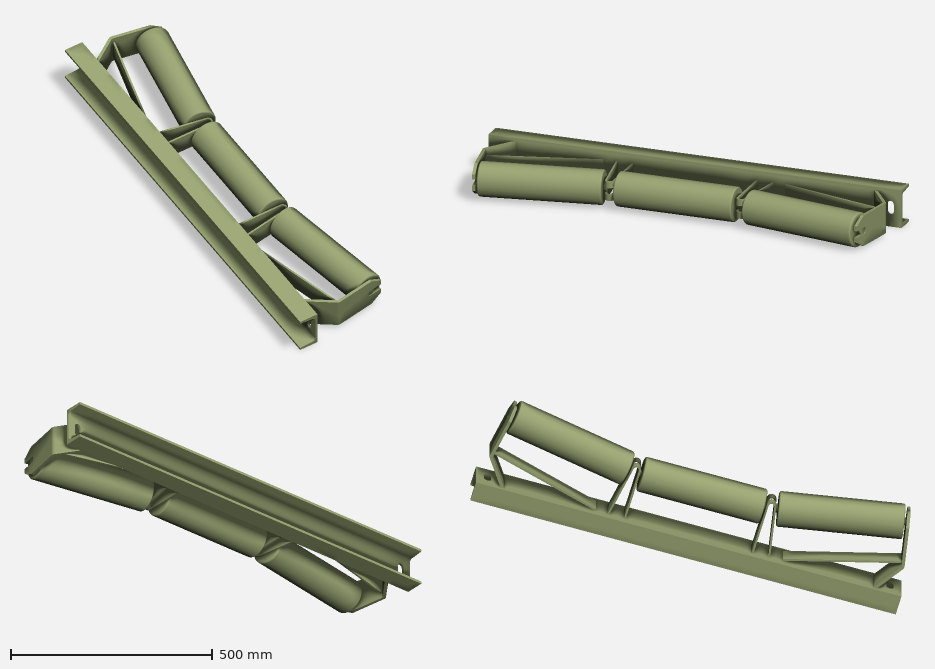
import cadquery as cq
import math

channel_length = 1100.0
channel_height = 100.0
flange_depth = 51.0
web_thickness = 6.0
flange_tip_thickness = 7.0
flange_taper = 0.08
flange_root_radius = 9.0
mount_slot_height = 36.0
mount_slot_width = 18.0
mount_slot_inset = 30.0

roller_length = 315.0
roller_radius = 44.5
roller_edge_radius = 4.0
roller_gap = 5.0
shaft_radius = 10.0
shaft_flat_width = 16.0
roller_tilt = 10.0
middle_axis_height = 117.0
end_roller_x = 350.0
end_roller_height = 148.0

end_plate_width = 80.0
end_plate_thickness = 8.0
end_plate_top = 32.0
end_foot_angle = 35.0
end_bend_height = 72.0
end_bend_radius = 5.0
corner_cut_angle = 30.0
thin_plate_width = 51.0
thin_plate_thickness = 5.0
fold_radius = 12.0
strut_angle = 15.0
strut_foot_x = 243.0

plate_face = roller_length / 2 + roller_gap
shaft_half_length = plate_face + thin_plate_thickness
tilt = math.radians(roller_tilt)
foot_lean = math.radians(end_foot_angle)
end_plate_outer = plate_face + end_plate_thickness


def place_left(body):
    """Move a body built about the origin onto the axis of the left roller."""
    turned = body.rotate((0, 0, 0), (0, 0, 1), -roller_tilt)
    return turned.translate((-end_roller_x, end_roller_height, 0))


def place_middle(body):
    """Move a body built about the origin onto the axis of the middle roller."""
    return body.translate((0, middle_axis_height, 0))


def left_plate_x(along, height):
    """X, at a height, of the plane square to the left roller's axis at a distance along that axis."""
    return -end_roller_x + along / math.cos(tilt) + (height - end_roller_height) * math.tan(tilt)


def make_channel():
    half_height = channel_height / 2
    tip_inside = half_height - flange_tip_thickness
    root_inside = tip_inside - flange_taper * (flange_depth - web_thickness)
    profile = [
        (0, -half_height),
        (0, half_height),
        (-flange_depth, half_height),
        (-flange_depth, tip_inside),
        (-web_thickness, root_inside),
        (-web_thickness, -root_inside),
        (-flange_depth, -tip_inside),
        (-flange_depth, -half_height),
    ]
    channel = cq.Workplane("YZ").polyline(profile).close().extrude(channel_length / 2, both=True)
    for root_z in (-root_inside, root_inside):
        root_edge = cq.selectors.NearestToPointSelector((0, -web_thickness, root_z))
        channel = channel.edges("|X").edges(root_edge).fillet(flange_root_radius)
    slot_x = channel_length / 2 - mount_slot_inset
    slots = (
        cq.Workplane("XZ")
        .pushPoints([(-slot_x, 0), (slot_x, 0)])
        .slot2D(mount_slot_height, mount_slot_width, 90)
        .extrude(web_thickness)
    )
    return channel.cut(slots)


def make_flatted_shaft(half_length):
    """Shaft along X with two flats facing +Z and -Z."""
    shaft = cq.Workplane("YZ", (-half_length, 0, 0)).circle(shaft_radius).extrude(2 * half_length)
    flats = cq.Workplane("XY").box(2 * half_length, 2 * shaft_radius, shaft_flat_width)
    return shaft.intersect(flats)


def make_roller():
    drum = cq.Workplane("YZ", (-roller_length / 2, 0, 0)).circle(roller_radius).extrude(roller_length)
    drum = drum.edges("%CIRCLE").fillet(roller_edge_radius)
    neck = cq.Workplane("YZ", (-plate_face, 0, 0)).circle(shaft_radius).extrude(2 * plate_face)
    return drum.union(neck).union(make_flatted_shaft(shaft_half_length))


def make_shaft_slots(height):
    """Cutter for the shaft seats at both roller ends, open upward to a height above the axis."""
    half_length = plate_face + 2 * end_plate_thickness
    opening = cq.Workplane("XY").box(
        2 * half_length, height, shaft_flat_width, centered=(True, False, True)
    )
    return make_flatted_shaft(half_length).union(opening)


def make_left_end_bracket():
    """Bent plate: an upper leg square to the roller axis and a foot leaning back to the channel."""
    bend_outer_x = left_plate_x(-end_plate_outer, end_bend_height)
    foot_outer_x = bend_outer_x + end_bend_height * math.tan(foot_lean)
    mitre = (foot_lean - tilt) / 2
    mitre_length = end_plate_thickness / math.cos((foot_lean + tilt) / 2)
    bend_inner = (
        bend_outer_x + mitre_length * math.cos(mitre),
        end_bend_height + mitre_length * math.sin(mitre),
    )

    def top_corner(along):
        return (
            -end_roller_x + along * math.cos(tilt) + end_plate_top * math.sin(tilt),
            end_roller_height - along * math.sin(tilt) + end_plate_top * math.cos(tilt),
        )

    outline = [
        (foot_outer_x, 0),
        (bend_outer_x, end_bend_height),
        top_corner(-end_plate_outer),
        top_corner(-plate_face),
        bend_inner,
        (foot_outer_x + end_plate_thickness / math.cos(foot_lean), 0),
    ]
    bracket = cq.Workplane("XY").polyline(outline).close().extrude(end_plate_width / 2, both=True)
    inner_edge = cq.selectors.NearestToPointSelector((*bend_inner, 0))
    outer_edge = cq.selectors.NearestToPointSelector((bend_outer_x, end_bend_height, 0))
    bracket = bracket.edges("|Z").edges(inner_edge).fillet(end_bend_radius)
    bracket = bracket.edges("|Z").edges(outer_edge).fillet(end_bend_radius + end_plate_thickness)

    half_width = end_plate_width / 2
    cut_depth = end_plate_top * math.tan(math.radians(corner_cut_angle))
    corner = [(0, half_width), (end_plate_top, half_width), (end_plate_top, half_width - cut_depth)]
    corner_cut = cq.Workplane("YZ").polyline(corner).close().extrude(-2 * end_plate_outer)
    corner_cuts = corner_cut.union(corner_cut.mirror("XY"))
    return bracket.cut(place_left(corner_cuts)).cut(place_left(make_shaft_slots(end_plate_top)))


def make_left_inner_bracket():
    """Plate folded over a round top, with a tilted leg at one roller and an upright leg at the next."""
    upright_x = -plate_face
    tilted_foot_x = left_plate_x(plate_face, 0)
    fold_x = upright_x - fold_radius
    fold_height = (fold_x - fold_radius / math.cos(tilt) - tilted_foot_x) / math.tan(tilt)
    fold_middle = math.radians(90 - roller_tilt / 2)

    def fold_point(radius, angle):
        return (fold_x + radius * math.cos(angle), fold_height + radius * math.sin(angle))

    inside_radius = fold_radius - thin_plate_thickness
    tilted_side = math.pi - tilt
    outline = (
        cq.Workplane("XY", (0, 0, -thin_plate_width / 2))
        .moveTo(tilted_foot_x, 0)
        .lineTo(*fold_point(fold_radius, tilted_side))
        .threePointArc(fold_point(fold_radius, fold_middle), (upright_x, fold_height))
        .lineTo(upright_x, 0)
        .lineTo(upright_x - thin_plate_thickness, 0)
        .lineTo(*fold_point(inside_radius, 0))
        .threePointArc(fold_point(inside_radius, fold_middle), fold_point(inside_radius, tilted_side))
        .lineTo(tilted_foot_x + thin_plate_thickness / math.cos(tilt), 0)
        .close()
    )
    bracket = outline.extrude(thin_plate_width)
    slots = make_shaft_slots(roller_radius)
    return bracket.cut(place_left(slots)).cut(place_middle(slots))


def make_left_strut():
    """Flat bar from the inner face of the end bracket down to the channel."""
    slope = math.radians(strut_angle)
    low_bottom = (-strut_foot_x, 0)
    low_top = (
        low_bottom[0] + thin_plate_thickness * math.sin(slope),
        thin_plate_thickness * math.cos(slope),
    )

    def meet_plate(x, height):
        """Where the line that rises from a point along the strut reaches the bracket's inner face."""
        reach = (x - left_plate_x(-plate_face, height)) / (1 + math.tan(slope) * math.tan(tilt))
        return (x - reach, height + reach * math.tan(slope))

    outline = [low_bottom, low_top, meet_plate(*low_top), meet_plate(*low_bottom)]
    return cq.Workplane("XY").polyline(outline).close().extrude(thin_plate_width / 2, both=True)


channel = make_channel()
roller = make_roller()
middle_roller = place_middle(roller)
left_bodies = [
    place_left(roller),
    make_left_end_bracket(),
    make_left_inner_bracket(),
    make_left_strut(),
]
right_bodies = [body.mirror("YZ") for body in left_bodies]

side_solids = [body.val() for body in left_bodies + right_bodies]
result = cq.Compound.makeCompound([channel.val(), middle_roller.val(), *side_solids])